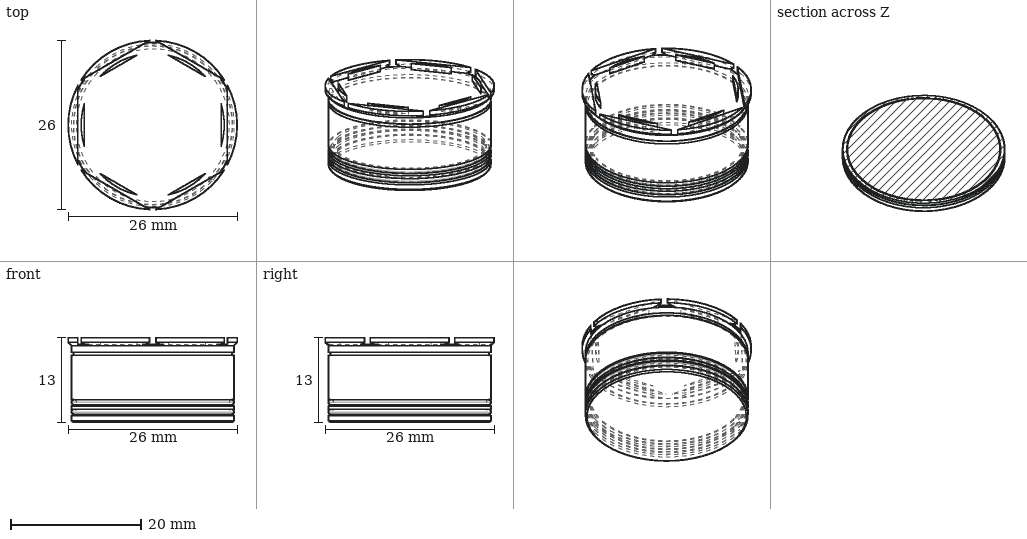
import cadquery as cq
import math

rim_radius = 13.0
body_radius = 12.5
total_height = 13.0
rim_bottom = 12.3
flare = rim_radius - body_radius
flare_bottom = rim_bottom - flare
bottom_chamfer = 0.25

floor_height = 12.0
segment_count = 6
segment_flat = 11.5
lug_flat = 10.5
lug_radius = 11.0

round_groove_height = 10.53
round_groove_radius = 0.23
round_groove_depth = 0.35

ring_side = 0.75
ring_corner_radius = 0.35
ring_heights = [3.1, 1.6]
lip_bevel = 0.25


def revolved(points):
    """Solid of revolution about Z from (radius, height) points."""
    return cq.Workplane("XZ").polyline(points).close().revolve(360, (0, 0, 0), (0, 1, 0))


def ring_groove(height):
    """Square groove that fits a ring, with a 45 degree bevel on its lower lip."""
    top = height + ring_side / 2
    bottom = height - ring_side / 2
    inner_radius = body_radius - ring_side
    return revolved([
        (inner_radius, top),
        (body_radius, top),
        (body_radius, bottom - lip_bevel),
        (body_radius - lip_bevel, bottom),
        (inner_radius, bottom),
    ])


def round_groove():
    """Groove with straight sides and a bottom of two quarter rounds."""
    top = round_groove_height + round_groove_radius
    bottom = round_groove_height - round_groove_radius
    deepest = body_radius - round_groove_depth
    round_start = deepest + round_groove_radius
    round_middle = round_start - round_groove_radius * math.cos(math.pi / 4)
    half_rise = round_groove_radius * math.sin(math.pi / 4)
    return (
        cq.Workplane("XZ")
        .moveTo(body_radius, bottom)
        .lineTo(round_start, bottom)
        .threePointArc((round_middle, round_groove_height - half_rise), (deepest, round_groove_height))
        .threePointArc((round_middle, round_groove_height + half_rise), (round_start, top))
        .lineTo(body_radius, top)
        .close()
        .revolve(360, (0, 0, 0), (0, 1, 0))
    )


def round_segments(outer_radius, flat_distance):
    """Circular segments cut off by the sides of a hexagon, above the floor."""
    height = total_height - floor_height
    disc = cq.Workplane("XY", origin=(0, 0, floor_height)).circle(outer_radius).extrude(height)
    across_corners = 2 * flat_distance / math.cos(math.pi / segment_count)
    hexagon = (
        cq.Workplane("XY", origin=(0, 0, floor_height))
        .polygon(segment_count, across_corners)
        .extrude(height)
        .rotate((0, 0, 0), (0, 0, 1), 180 / segment_count)
    )
    return disc.cut(hexagon)


def make_housing():
    blank = revolved([
        (0, 0),
        (body_radius - bottom_chamfer, 0),
        (body_radius, bottom_chamfer),
        (body_radius, flare_bottom),
        (rim_radius, rim_bottom),
        (rim_radius, total_height),
        (0, total_height),
    ])
    top_slab = (
        cq.Workplane("XY", origin=(0, 0, floor_height))
        .circle(rim_radius)
        .extrude(total_height - floor_height)
    )
    lugs = round_segments(lug_radius, lug_flat)
    rim_segments = round_segments(rim_radius, segment_flat)
    body = blank.cut(top_slab.cut(rim_segments).cut(lugs))

    body = body.cut(round_groove())
    for height in ring_heights:
        body = body.cut(ring_groove(height))
    return body


def make_sealing_ring(height):
    top = height + ring_side / 2
    bottom = height - ring_side / 2
    inner_radius = body_radius - ring_side
    ring = revolved([
        (inner_radius, bottom),
        (body_radius, bottom),
        (body_radius, top),
        (inner_radius, top),
    ])
    return ring.edges("%CIRCLE").fillet(ring_corner_radius)


housing = make_housing()
sealing_rings = [make_sealing_ring(height) for height in ring_heights]

result = cq.Compound.makeCompound([housing.val(), *[ring.val() for ring in sealing_rings]])